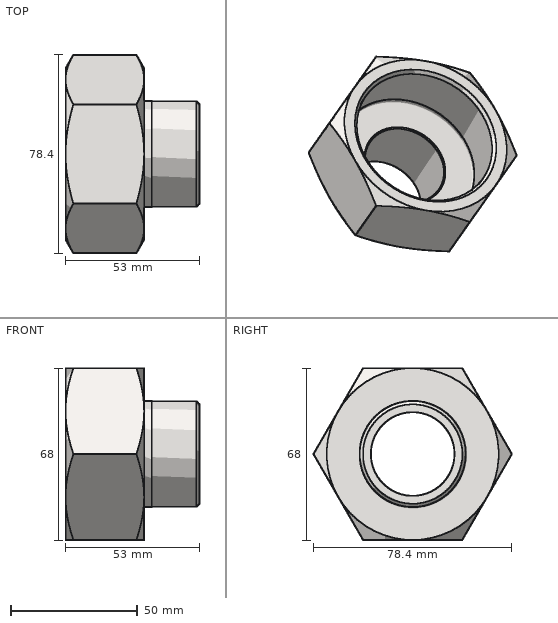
import cadquery as cq
import math

hexagon_sides = 6
across_flats = 68.0
head_length = 31.0
corner_diameter = 78.43
corner_bevel_angle = 30.0

total_length = 53.0
thread_diameter = 41.91
neck_diameter = 42.11
neck_end = 34.0
neck_fillet = 0.5

socket_diameter = 56.66
relief_diameter = 56.86
socket_depth = 24.8
relief_length = 2.0
socket_fillet = 0.5

thread_chamfer = 1.3

bore_diameter = 33.0
bore_chamfer = 0.5


def revolve_about_x(outline):
    """Turn a closed (X, radius) outline about the X axis."""
    return outline.close().revolve(360, (0, 0, 0), (1, 0, 0))


def hexagonal_head():
    """Hexagonal prism with flats facing +Z and -Z and bevelled corners at both ends."""
    flat_radius = across_flats / 2
    corner_radius = corner_diameter / 2
    bevel_length = (corner_radius - flat_radius) * math.tan(math.radians(corner_bevel_angle))
    across_corners = across_flats / math.cos(math.pi / hexagon_sides)
    prism = cq.Workplane("YZ").polygon(hexagon_sides, across_corners).extrude(head_length)
    turned_envelope = revolve_about_x(
        cq.Workplane("XY")
        .lineTo(0, flat_radius)
        .lineTo(bevel_length, corner_radius)
        .lineTo(head_length - bevel_length, corner_radius)
        .lineTo(head_length, flat_radius)
        .lineTo(head_length, 0)
    )
    return prism.intersect(turned_envelope)


def spigot():
    """Plain neck with a fillet against the head, then the thread cylinder and its tip chamfer."""
    neck_radius = neck_diameter / 2
    thread_radius = thread_diameter / 2
    root_start = head_length - neck_fillet
    return revolve_about_x(
        cq.Workplane("XY")
        .moveTo(root_start, 0)
        .lineTo(root_start, neck_radius + neck_fillet)
        .lineTo(head_length, neck_radius + neck_fillet)
        .radiusArc((head_length + neck_fillet, neck_radius), -neck_fillet)
        .lineTo(neck_end, neck_radius)
        .lineTo(neck_end, thread_radius)
        .lineTo(total_length - thread_chamfer, thread_radius)
        .lineTo(total_length, thread_radius - thread_chamfer)
        .lineTo(total_length, 0)
    )


def socket_and_bore():
    """Stepped cavity: chamfered socket, relief at its floor, then the through bore."""
    socket_radius = socket_diameter / 2
    relief_radius = relief_diameter / 2
    bore_radius = bore_diameter / 2
    return revolve_about_x(
        cq.Workplane("XY")
        .lineTo(0, socket_radius + thread_chamfer)
        .lineTo(thread_chamfer, socket_radius)
        .lineTo(socket_depth - relief_length, socket_radius)
        .lineTo(socket_depth - relief_length, relief_radius)
        .lineTo(socket_depth - socket_fillet, relief_radius)
        .radiusArc((socket_depth, relief_radius - socket_fillet), socket_fillet)
        .lineTo(socket_depth, bore_radius + bore_chamfer)
        .lineTo(socket_depth + bore_chamfer, bore_radius)
        .lineTo(total_length, bore_radius)
        .lineTo(total_length, 0)
    )


result = hexagonal_head().union(spigot()).cut(socket_and_bore())